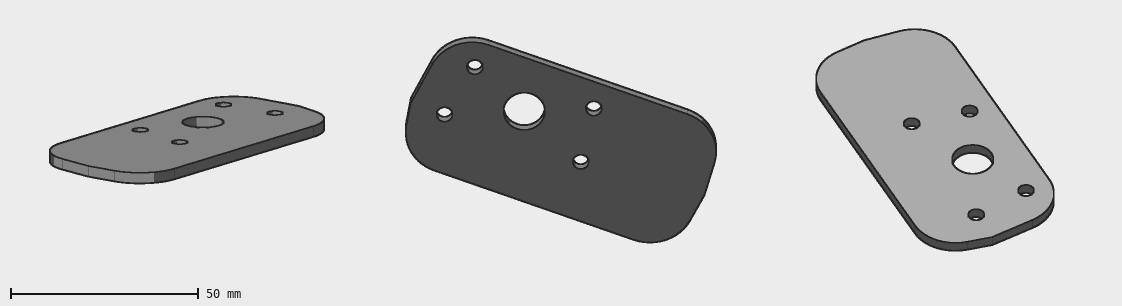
import cadquery as cq

width = 40.0
length = 82.9
thickness = 3.0
corner_radius = 12.0

top_peak_from_left = 23.5
bottom_peak_from_left = 20.7

top_left_drop = 2.15
top_right_drop = 3.2
bottom_corner_drop = 2.0

main_hole_x = -5.1
main_hole_y = 12.35
main_hole_diameter = 11.0
small_hole_diameter = 4.2
left_hole_offset = 7.5
left_hole_half_spacing = 17.0
right_hole_offset = 8.55
right_hole_half_spacing = 19.5

right = width / 2
left = -right
top = length / 2
bottom = -top


def make_plate():
    """Six-sided plate with its four side corners rounded."""
    top_peak = (left + top_peak_from_left, top)
    bottom_peak = (left + bottom_peak_from_left, bottom)
    outline = [
        (left, bottom + bottom_corner_drop),
        bottom_peak,
        (right, bottom + bottom_corner_drop),
        (right, top - top_right_drop),
        top_peak,
        (left, top - top_left_drop),
    ]
    plate = cq.Workplane("XY").polyline(outline).close().extrude(thickness)
    for side in ("<X", ">X"):
        plate = plate.faces(side).edges("|Z").fillet(corner_radius)
    return plate


def drill(plate, points, diameter):
    """Cut round holes through the full thickness."""
    holes = cq.Workplane("XY").pushPoints(points).circle(diameter / 2).extrude(thickness)
    return plate.cut(holes)


small_hole_points = []
for side in (-1, 1):
    small_hole_points.append((main_hole_x - left_hole_offset, main_hole_y + side * left_hole_half_spacing))
    small_hole_points.append((main_hole_x + right_hole_offset, main_hole_y + side * right_hole_half_spacing))

result = make_plate()
result = drill(result, [(main_hole_x, main_hole_y)], main_hole_diameter)
result = drill(result, small_hole_points, small_hole_diameter)